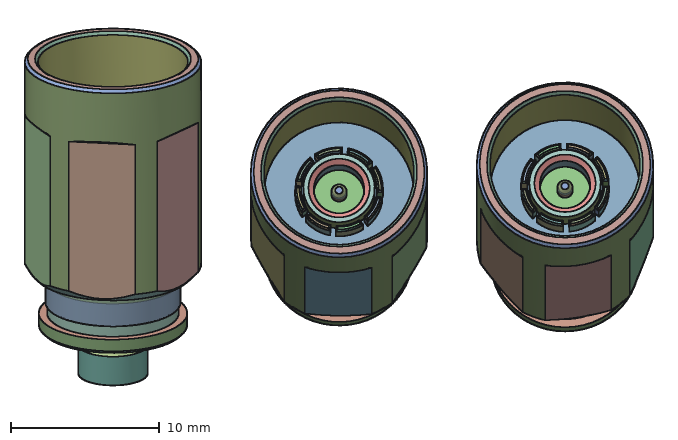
import cadquery as cq
import math

stem_top_z = 2.08
waist_lower_z = 2.51
waist_upper_z = 2.88
flange_bottom_z = 3.28
flange_top_z = 4.33
groove_top_z = 5.1
collar_round_z = 6.75
nut_bottom_z = 7.27
flat_top_z = 18.66
total_height = 22.65

stem_radius = 2.35
flange_radius = 5.0
flange_chamfer = 0.2
groove_radius = 4.45
collar_radius = 4.55
collar_round_radius = 1.81
nut_diameter = 11.9
nut_radius = nut_diameter / 2
nut_bottom_chamfer = 0.61
rim_chamfer = 0.2

flat_count = 6
flat_apothem = 5.5
flat_runout_angle = 30.0

bore_radius = 5.05
bore_chamfer = 0.2
cavity_floor_z = 17.49

tube_radius = 2.4
tube_top_z = 18.91
tube_bore_radius = 1.7
tube_mouth_radius = 2.05
tube_mouth_depth = 0.25
pin_radius = 0.52
pin_tip_radius = 0.25
pin_taper_height = 0.27
pin_shoulder_round = 0.23
pin_height = 0.9

finger_count = 8
finger_outer_radius = 2.97
finger_inner_radius = 2.55
finger_top_z = 18.7
finger_gap = 0.39
finger_chamfer = 0.11


def tube_at_floor(outer_radius, inner_radius, top_z):
    """Plain ring standing on the cavity floor."""
    return (
        cq.Workplane("XY", origin=(0, 0, cavity_floor_z))
        .circle(outer_radius)
        .circle(inner_radius)
        .extrude(top_z - cavity_floor_z)
    )


def make_body():
    """Solid of revolution: stem, waist, flange, grooved collar and nut."""
    waist_edge_radius = stem_radius - (waist_lower_z - stem_top_z)
    waist_half_height = (waist_upper_z - waist_lower_z) / 2
    waist_round_radius = waist_half_height * math.sqrt(2)
    waist_min_radius = waist_edge_radius - (waist_round_radius - waist_half_height)
    cone_top_radius = waist_edge_radius + flange_bottom_z - waist_upper_z

    round_rise = nut_bottom_z - collar_round_z
    round_inset = collar_round_radius - math.sqrt(collar_round_radius**2 - round_rise**2)

    profile = (
        cq.Workplane("XZ")
        .lineTo(stem_radius, 0)
        .lineTo(stem_radius, stem_top_z)
        .lineTo(waist_edge_radius, waist_lower_z)
        .threePointArc(
            (waist_min_radius, waist_lower_z + waist_half_height),
            (waist_edge_radius, waist_upper_z),
        )
        .lineTo(cone_top_radius, flange_bottom_z)
        .lineTo(flange_radius - flange_chamfer, flange_bottom_z)
        .lineTo(flange_radius, flange_bottom_z + flange_chamfer)
        .lineTo(flange_radius, flange_top_z)
        .lineTo(groove_radius, flange_top_z)
        .lineTo(groove_radius, groove_top_z)
        .lineTo(collar_radius, groove_top_z)
        .lineTo(collar_radius, collar_round_z)
        .tangentArcPoint((collar_radius - round_inset, nut_bottom_z), relative=False)
        .lineTo(nut_radius - nut_bottom_chamfer, nut_bottom_z)
        .lineTo(nut_radius, nut_bottom_z + nut_bottom_chamfer)
        .lineTo(nut_radius, total_height - rim_chamfer)
        .lineTo(nut_radius - rim_chamfer, total_height)
        .lineTo(0, total_height)
        .close()
    )
    return profile.revolve(360, (0, 0), (0, 1))


def cut_wrench_flats(body):
    """Cut the flats, each ending in a sloped shoulder under the rim."""
    cutter_depth = nut_radius
    cutter_outer = flat_apothem + cutter_depth
    shoulder_rise = cutter_depth * math.tan(math.radians(flat_runout_angle))
    cutter = (
        cq.Workplane("XZ")
        .moveTo(flat_apothem, nut_bottom_z)
        .lineTo(cutter_outer, nut_bottom_z)
        .lineTo(cutter_outer, flat_top_z + shoulder_rise)
        .lineTo(flat_apothem, flat_top_z)
        .close()
        .extrude(nut_radius, both=True)
    )
    pitch = 360 / flat_count
    for index in range(flat_count):
        angle = pitch / 2 + index * pitch
        body = body.cut(cutter.rotate((0, 0, 0), (0, 0, 1), angle))
    return body


def cut_cavity(body):
    """Bore the open socket and break its mouth edge."""
    cavity = (
        cq.Workplane("XZ")
        .moveTo(0, cavity_floor_z)
        .lineTo(bore_radius, cavity_floor_z)
        .lineTo(bore_radius, total_height - bore_chamfer)
        .lineTo(bore_radius + bore_chamfer, total_height)
        .lineTo(0, total_height)
        .close()
        .revolve(360, (0, 0), (0, 1))
    )
    return body.cut(cavity)


def make_contact_tube():
    """Central tube with a countersunk mouth."""
    mouth_width = tube_mouth_radius - tube_bore_radius
    return (
        tube_at_floor(tube_radius, tube_bore_radius, tube_top_z)
        .faces(">Z")
        .edges("%CIRCLE")
        .edges(cq.selectors.RadiusNthSelector(0))
        .chamfer(tube_mouth_depth, mouth_width)
    )


def make_pin():
    """Centre pin with a tapered tip and a rounded shoulder below the taper."""
    pin = cq.Workplane("XY", origin=(0, 0, cavity_floor_z)).circle(pin_radius).extrude(pin_height)
    pin = pin.faces(">Z").edges().chamfer(pin_taper_height, pin_radius - pin_tip_radius)
    return pin.edges("%CIRCLE").edges(">>Z[-2]").fillet(pin_shoulder_round)


def make_fingers():
    """Ring split by diametral slots into chamfered fingers."""
    ring = tube_at_floor(finger_outer_radius, finger_inner_radius, finger_top_z)
    pitch = 360 / finger_count
    slot = cq.Workplane("XY", origin=(0, 0, cavity_floor_z)).box(
        2 * bore_radius, finger_gap, total_height, centered=(True, True, False)
    )
    for index in range(finger_count // 2):
        ring = ring.cut(slot.rotate((0, 0, 0), (0, 0, 1), pitch / 2 + index * pitch))
    return ring.faces(">Z").edges().chamfer(finger_chamfer)


body = cut_cavity(cut_wrench_flats(make_body()))
result = body.union(make_contact_tube()).union(make_pin()).union(make_fingers())